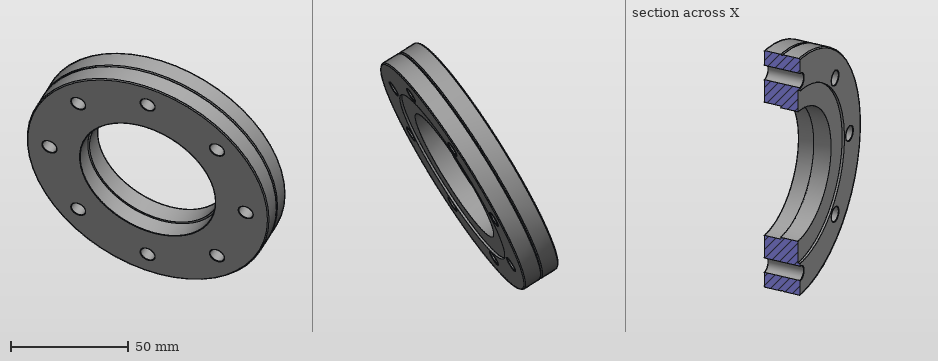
import cadquery as cq
import math

outer_diameter = 113.5
thickness = 17.3
edge_chamfer = 0.5

rim_groove_width = 1.0
rim_groove_depth = 0.5

bore_diameter = 61.8
socket_diameter = 63.5
socket_depth = 7.9
socket_chamfer = 0.2

recess_diameter = 82.5
recess_depth = 1.1

bolt_hole_count = 8
bolt_hole_diameter = 6.65
bolt_hole_chamfer = 0.2
bolt_circle_diameter = 92.1

front_y = -thickness / 2
back_y = thickness / 2
full_turn = 360


def revolve_about_y(section):
    """Revolve a closed (radius, y) outline once around the Y axis."""
    return cq.Workplane("XY").polyline(section).close().revolve(full_turn, (0, 0, 0), (0, 1, 0))


def make_body():
    """Revolve the ring section, with its chamfers, groove, socket and recess, about Y."""
    outer_radius = outer_diameter / 2
    bore_radius = bore_diameter / 2
    recess_radius = recess_diameter / 2
    socket_radius = socket_diameter / 2
    section = [
        (socket_radius + socket_chamfer, front_y),
        (outer_radius - edge_chamfer, front_y),
        (outer_radius, front_y + edge_chamfer),
        (outer_radius, -rim_groove_width / 2),
        (outer_radius - rim_groove_depth, 0),
        (outer_radius, rim_groove_width / 2),
        (outer_radius, back_y - edge_chamfer),
        (outer_radius - edge_chamfer, back_y),
        (recess_radius, back_y),
        (recess_radius, back_y - recess_depth),
        (bore_radius, back_y - recess_depth),
        (bore_radius, front_y + socket_depth),
        (socket_radius, front_y + socket_depth),
        (socket_radius, front_y + socket_chamfer),
    ]
    return revolve_about_y(section)


def make_bolt_hole_cutter(angle):
    """One bolt hole, chamfered at both mouths, at an angle around the Y axis."""
    hole_radius = bolt_hole_diameter / 2
    mouth_radius = hole_radius + bolt_hole_chamfer
    half_section = [
        (0, front_y),
        (mouth_radius, front_y),
        (hole_radius, front_y + bolt_hole_chamfer),
        (hole_radius, back_y - bolt_hole_chamfer),
        (mouth_radius, back_y),
        (0, back_y),
    ]
    cutter = revolve_about_y(half_section)
    bolt_circle_radius = bolt_circle_diameter / 2
    hole_x = bolt_circle_radius * math.cos(angle)
    hole_z = bolt_circle_radius * math.sin(angle)
    return cutter.translate((hole_x, 0, hole_z))


result = make_body()
for hole_index in range(bolt_hole_count):
    hole_angle = 2 * math.pi * hole_index / bolt_hole_count
    result = result.cut(make_bolt_hole_cutter(hole_angle))